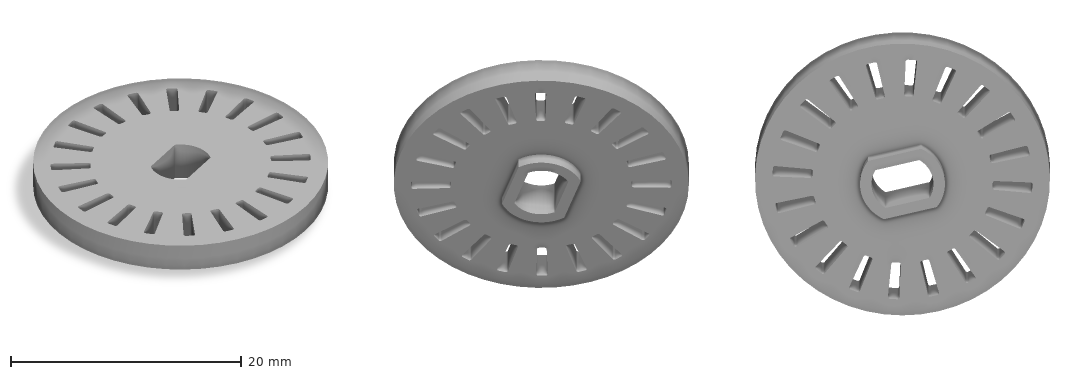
import cadquery as cq

disk_diameter = 25.6
disk_thickness = 2.5

hole_diameter = 5.38
hole_across_flats = 3.65
boss_wall = 1.0
boss_height = 1.0
boss_diameter = hole_diameter + 2 * boss_wall
boss_across_flats = hole_across_flats + 2 * boss_wall

slot_count = 20
slot_inner_radius = 7.83
slot_outer_radius = 11.3
slot_inner_width = 0.82
slot_outer_width = 1.0
slot_corner_radius = 0.18

total_height = disk_thickness + boss_height


def double_flat(diameter, across_flats, height):
    """Cylinder standing on Z = 0, cut by two flats that face -X and +X."""
    cylinder = cq.Workplane("XY").circle(diameter / 2).extrude(height)
    flats = cq.Workplane("XY").rect(across_flats, diameter).extrude(height)
    return cylinder.intersect(flats)


def radial_slot():
    """Tapered slot cutter along +X with rounded corners."""
    return (
        cq.Workplane("XY")
        .moveTo(slot_inner_radius, -slot_inner_width / 2)
        .lineTo(slot_outer_radius, -slot_outer_width / 2)
        .lineTo(slot_outer_radius, slot_outer_width / 2)
        .lineTo(slot_inner_radius, slot_inner_width / 2)
        .close()
        .extrude(total_height)
        .edges("|Z")
        .fillet(slot_corner_radius)
    )


disk = cq.Workplane("XY").workplane(offset=boss_height).circle(disk_diameter / 2).extrude(disk_thickness)
boss = double_flat(boss_diameter, boss_across_flats, boss_height)
shaft_hole = double_flat(hole_diameter, hole_across_flats, total_height)
result = disk.union(boss).cut(shaft_hole)

slot = radial_slot()
for index in range(slot_count):
    angle = index * 360 / slot_count
    result = result.cut(slot.rotate((0, 0, 0), (0, 0, 1), angle))